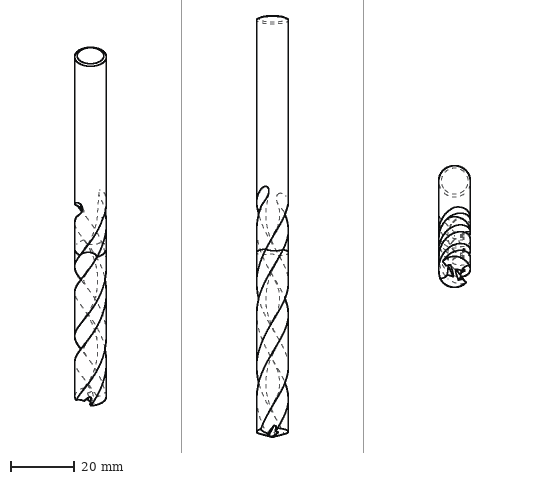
import cadquery as cq
import math

TOTAL_LENGTH = 136.0
DIAMETER = 10.0
SHANK_LENGTH = 75.9
CHAMFER_WIDTH = 0.8
CHAMFER_HEIGHT = 0.4
POINT_ANGLE = 140.0
HELIX_ANGLE = 30.0

FLUTE_COUNT = 2
FLUTE_RADIUS = 2.9
FLUTE_OFFSET = 5.0
FLUTE_START_ANGLE = -82.6
FLUTE_TOP = 74.4
RUNOUT_HEIGHT = 12.2
RUNOUT_SLOPE = 1.0

GASH_DEPTH = 4.1
GASH_WEB = 0.4
GASH_LEFT = -1.2
GASH_LEFT_HEIGHT = 0.4
GASH_PEAK = 2.2
GASH_RIGHT = 2.9
GASH_TILT = 20.0

radius = DIAMETER / 2
split_height = TOTAL_LENGTH - SHANK_LENGTH
point_height = radius / math.tan(math.radians(POINT_ANGLE / 2))
helix_slope = math.tan(math.radians(HELIX_ANGLE))
helix_lead = math.pi * DIAMETER / helix_slope
flute_twist = 360.0 * FLUTE_TOP / helix_lead
flute_pitch_angle = 360.0 / FLUTE_COUNT


def make_flute(start_angle):
    """Helical groove followed by a straight run-out that leaves the drill."""
    start = math.radians(start_angle)
    end = math.radians(start_angle + flute_twist)
    groove = (
        cq.Workplane("XY")
        .pushPoints([(FLUTE_OFFSET * math.cos(start), FLUTE_OFFSET * math.sin(start))])
        .circle(FLUTE_RADIUS)
        .twistExtrude(FLUTE_TOP, flute_twist)
    )
    outward = cq.Vector(math.cos(end), math.sin(end), 0)
    tangent = cq.Vector(-math.sin(end), math.cos(end), 0)
    rise = cq.Vector(0, 0, 1) + tangent * RUNOUT_SLOPE
    centre = outward * FLUTE_OFFSET + cq.Vector(0, 0, FLUTE_TOP)
    rim = cq.Wire.makeCircle(FLUTE_RADIUS, centre, cq.Vector(0, 0, 1))
    runout = cq.Solid.extrudeLinear(rim, [], rise * RUNOUT_HEIGHT)
    return groove, cq.Workplane(obj=runout)


def cut_flutes(body):
    for index in range(FLUTE_COUNT):
        groove, runout = make_flute(FLUTE_START_ANGLE + index * flute_pitch_angle)
        body = body.cut(groove).cut(runout)
    return body


def make_shank():
    """Plain shank with a bevelled end and the upper part of the flutes."""
    profile = (
        cq.Workplane("XZ")
        .moveTo(0, split_height)
        .lineTo(radius, split_height)
        .lineTo(radius, TOTAL_LENGTH - CHAMFER_HEIGHT)
        .lineTo(radius - CHAMFER_WIDTH, TOTAL_LENGTH)
        .lineTo(0, TOTAL_LENGTH)
        .close()
    )
    return cut_flutes(profile.revolve(360, (0, 0, 0), (0, 1, 0)))


def make_gash():
    """Triangular notch on the -Y side of the point."""
    return (
        cq.Workplane("XZ", origin=(0, -GASH_WEB, 0))
        .moveTo(GASH_LEFT, GASH_LEFT_HEIGHT)
        .lineTo(GASH_PEAK, GASH_DEPTH)
        .lineTo(GASH_RIGHT, 0)
        .lineTo(GASH_LEFT, 0)
        .close()
        .extrude(radius)
        .rotate((0, -GASH_WEB, 0), (1, -GASH_WEB, 0), GASH_TILT)
    )


def make_cutting_part():
    """Fluted body with a conical point and a gash in front of each flute."""
    profile = (
        cq.Workplane("XZ")
        .lineTo(radius, point_height)
        .lineTo(radius, split_height)
        .lineTo(0, split_height)
        .close()
    )
    body = cut_flutes(profile.revolve(360, (0, 0, 0), (0, 1, 0)))
    for index in range(FLUTE_COUNT):
        gash = make_gash().rotate((0, 0, 0), (0, 0, 1), index * flute_pitch_angle)
        body = body.cut(gash)
    return body


shank = make_shank()
cutting_part = make_cutting_part()
result = cq.Compound.makeCompound([shank.val(), cutting_part.val()])